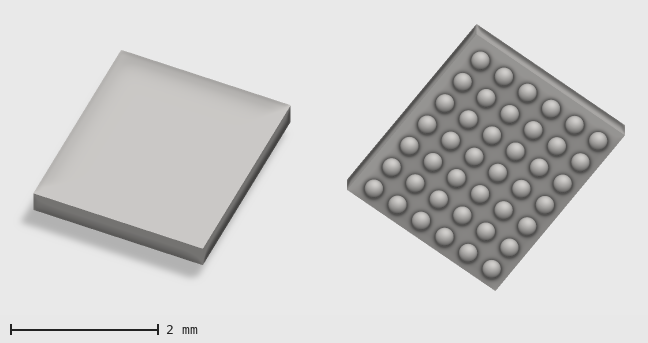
import cadquery as cq

body_width = 2.51
body_length = 2.91
total_height = 0.52
body_height = 0.325

ball_pitch = 0.4
ball_diameter = 0.25
columns = 6
rows = 7

ball_radius = ball_diameter / 2
body_bottom = total_height - body_height

body = (
    cq.Workplane("XY")
    .workplane(offset=body_bottom)
    .rect(body_width, body_length)
    .extrude(body_height)
)

balls = (
    cq.Workplane("XY")
    .workplane(offset=ball_radius)
    .rarray(ball_pitch, ball_pitch, columns, rows)
    .sphere(ball_radius)
)

result = body.union(balls)